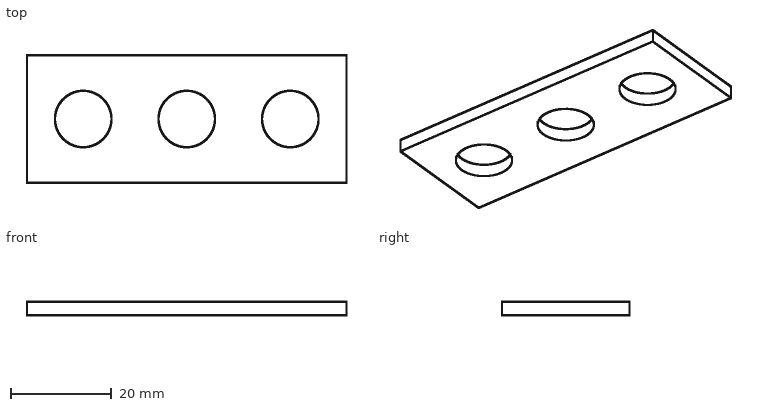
import cadquery as cq

length = 63.5
width = 25.4
thickness = 2.75

hole_diameter = 11.18
hole_count = 3
end_distance = 11.18
hole_pitch = (length - 2 * end_distance) / (hole_count - 1)


def make_bar():
    """Plain rectangular bar centred in X and Y, resting on Z = 0."""
    return cq.Workplane("XY").box(length, width, thickness, centered=(True, True, False))


def drill_hole_row(bar):
    """Drill the evenly spaced holes through the full thickness."""
    return (
        bar.faces(">Z")
        .workplane()
        .rarray(hole_pitch, width, hole_count, 1)
        .hole(hole_diameter)
    )


result = drill_hole_row(make_bar())